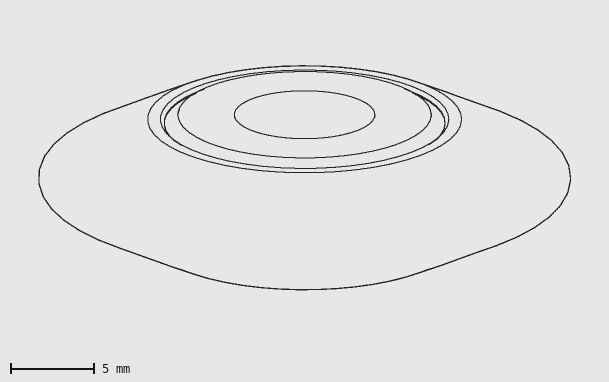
import cadquery as cq
import math

rim_radius = 15.85
rim_round = 0.55
wheel_half_height = 3.7
wheel_face_radius = 9.35
crease_radius = 11.15
crease_height = 2.8
seat_radius = 8.37
seat_chamfer = 0.22

bore_radius = 4.18
hub_rise = 0.3
hub_face_radius = 7.55
shoulder_fillet = 0.57

rim_center = rim_radius - rim_round
to_crease_x = rim_center - crease_radius
crease_distance = math.hypot(to_crease_x, crease_height)
tangent_angle = math.pi - math.atan2(crease_height, to_crease_x) - math.acos(rim_round / crease_distance)
tangent_radius = rim_center + rim_round * math.cos(tangent_angle)
tangent_height = rim_round * math.sin(tangent_angle)


def make_wheel():
    """Revolve the double cone, leaving a bore with a chamfered top edge."""
    profile = (
        cq.Workplane("XZ")
        .moveTo(seat_radius, -wheel_half_height)
        .lineTo(wheel_face_radius, -wheel_half_height)
        .lineTo(crease_radius, -crease_height)
        .lineTo(tangent_radius, -tangent_height)
        .threePointArc((rim_radius, 0), (tangent_radius, tangent_height))
        .lineTo(crease_radius, crease_height)
        .lineTo(wheel_face_radius, wheel_half_height)
        .lineTo(seat_radius + seat_chamfer, wheel_half_height)
        .lineTo(seat_radius, wheel_half_height - seat_chamfer)
        .close()
    )
    return profile.revolve(360, (0, 0, 0), (0, 1, 0))


def make_hub():
    """Revolve the hub, which fills the wheel bore and is flush with its lower face."""
    top = wheel_half_height + hub_rise
    shoulder_height = top - shoulder_fillet
    shoulder_radius = hub_face_radius + shoulder_fillet
    arc_reach = shoulder_fillet * math.sqrt(0.5)
    profile = (
        cq.Workplane("XZ")
        .moveTo(bore_radius, -wheel_half_height)
        .lineTo(seat_radius, -wheel_half_height)
        .lineTo(seat_radius, shoulder_height)
        .lineTo(shoulder_radius, shoulder_height)
        .threePointArc(
            (shoulder_radius - arc_reach, top - arc_reach),
            (hub_face_radius, top),
        )
        .lineTo(bore_radius, top)
        .close()
    )
    return profile.revolve(360, (0, 0, 0), (0, 1, 0))


wheel = make_wheel()
hub = make_hub()
result = cq.Compound.makeCompound([wheel.val(), hub.val()])